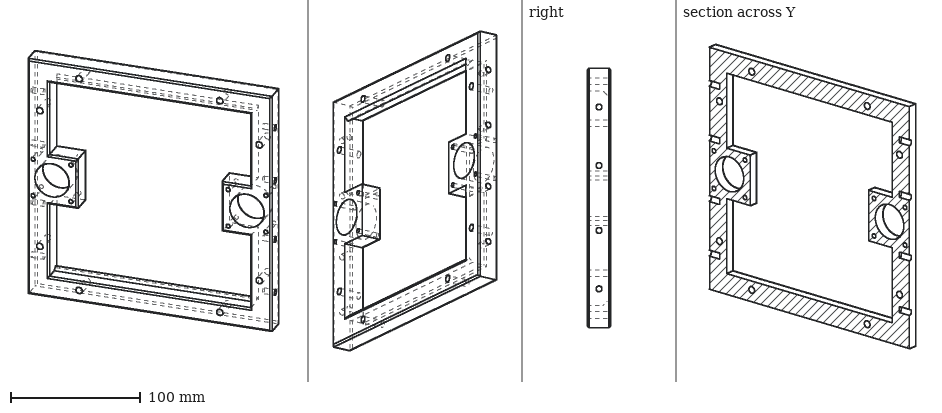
import cadquery as cq

frame_size = 200.0
thickness = 18.0
rail_width = 17.5
edge_chamfer = 1.5

block_size = 42.0
block_center_x = 80.0
bore_diameter = 28.0
block_hole_diameter = 3.2
block_hole_spacing = 31.0

rail_hole_diameter = 5.2
rail_hole_line = 90.0
rail_hole_offset = 57.7

side_hole_diameter = 4.5
side_hole_depth = 10.0
side_hole_heights = (-70.0, -25.0, 25.0, 70.0)

ridge_height = 3.0

back_y = thickness / 2
opening_size = frame_size - 2 * rail_width
ridge_start_y = back_y - 2 * ridge_height
ridge_peak_y = back_y - ridge_height


def box_between_faces(size_x, size_z, center_x=0.0):
    """Full-thickness box centred on the given X."""
    return cq.Workplane("XY").box(size_x, thickness, size_z).translate((center_x, 0, 0))


def make_frame():
    """Square frame with the two blocks reaching into its opening.

    Every front edge is chamfered; at the back only the outer edge is.
    """
    opening = box_between_faces(opening_size, opening_size)
    for side in (-1, 1):
        opening = opening.cut(box_between_faces(block_size, block_size, side * block_center_x))
    frame = box_between_faces(frame_size, frame_size).cut(opening)
    frame = frame.faces("<Y").chamfer(edge_chamfer)
    outer_back_edge = frame.faces(">Y").wires(cq.selectors.AreaNthSelector(-1))
    return outer_back_edge.chamfer(edge_chamfer)


def make_ridge(side):
    """Triangular ridge on the inside of the top (side 1) or bottom (side -1) rail."""
    base_z = side * opening_size / 2
    peak_z = base_z - side * ridge_height
    outline = [(ridge_start_y, base_z), (ridge_peak_y, peak_z), (back_y, base_z)]
    return cq.Workplane("YZ").polyline(outline).close().extrude(opening_size / 2, both=True)


def through_holes(points, diameter):
    """Cutting cylinders along Y at the given (X, Z) points."""
    plane = cq.Workplane("XZ")
    return plane.pushPoints(points).circle(diameter / 2).extrude(thickness, both=True)


def block_cutters(side):
    """Bore and four corner holes of one block."""
    center_x = side * block_center_x
    half_spacing = block_hole_spacing / 2
    corners = [(center_x + i * half_spacing, j * half_spacing) for i in (-1, 1) for j in (-1, 1)]
    bore = through_holes([(center_x, 0)], bore_diameter)
    return bore.union(through_holes(corners, block_hole_diameter))


def rail_holes():
    """Two holes in each rail, placed symmetrically about its middle."""
    points = []
    for i in (-1, 1):
        for j in (-1, 1):
            points.append((i * rail_hole_line, j * rail_hole_offset))
            points.append((i * rail_hole_offset, j * rail_hole_line))
    return through_holes(points, rail_hole_diameter)


def side_holes(side):
    """Blind holes running inward from one outer side face."""
    points = [(0, z) for z in side_hole_heights]
    plane = cq.Workplane("YZ", origin=(side * frame_size / 2, 0, 0))
    return plane.pushPoints(points).circle(side_hole_diameter / 2).extrude(-side * side_hole_depth)


result = make_frame()
for side in (-1, 1):
    result = result.union(make_ridge(side))
for side in (-1, 1):
    result = result.cut(block_cutters(side)).cut(side_holes(side))
result = result.cut(rail_holes())